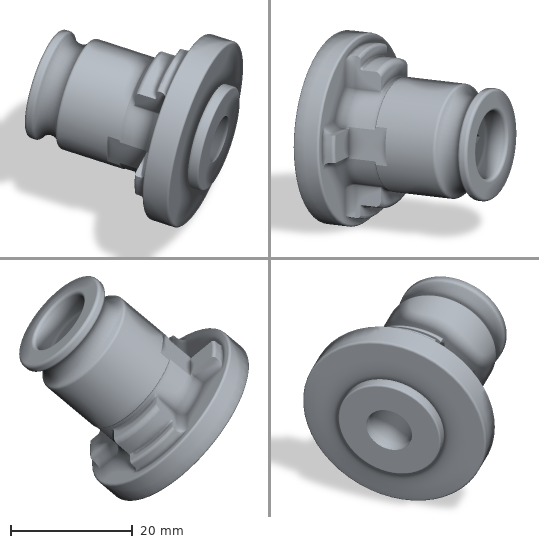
import cadquery as cq
import math

GROOVE_CENTER_X = 3.6
FLAT_START_X = 14.75
BODY_END_X = 16.77
TALL_LUG_X = 17.9
LOW_LUG_X = 21.65
FLANGE_FRONT_X = 23.78
FLANGE_BACK_X = 28.45
REAR_DISC_X = 29.0
LENGTH = 30.8

ROOT_FILLET = 1.3
STEP_FILLET = 1.0
EDGE_FILLET = 0.5
BORE_FLOOR_FILLET = 0.48
FLANGE_FILLET = 0.4
SMALL_FILLET = 0.3

COLLAR_R = 18.65 / 2
BODY_R = 19.0 / 2
NECK_R = COLLAR_R
FLANGE_R = 32 / 2
REAR_GROOVE_R = 14.2 / 2
REAR_DISC_R = 17.9 / 2

GROOVE_FLOOR_R = 7.87
GROOVE_ARC_R = 2.2

LUG_TIP_R = 14.5
TALL_STEP_R = 22.8 / 2 + STEP_FILLET
TALL_LUG_WIDTH = 9.8
LOW_LUG_WIDTH = 4.67
FLAT_SPAN = 2 * REAR_DISC_R

BORE_R = 11.4 / 2
BORE_DEPTH = 4.0
BORE_CONE_HALF_ANGLE = 75
SQUARE_SIDE = 6.18
SQUARE_END_X = 19.2
REAR_BORE_R = 8 / 2

TOLERANCE = 0.003


def revolve_about_x(profile):
    """Full turn of a closed XY outline about the X axis."""
    return profile.revolve(360, (0, 0, 0), (1, 0, 0))


def cylinder(radius, start_x, end_x):
    return cq.Workplane("YZ", origin=(start_x, 0, 0)).circle(radius).extrude(end_x - start_x)


def block(size_y, size_z, start_x, end_x):
    return cq.Workplane("YZ", origin=(start_x, 0, 0)).rect(size_y, size_z).extrude(end_x - start_x)


def round_circle(solid, x, radius, fillet):
    """Fillet the full or partial circular edges of the given radius in the plane at x."""

    def matches(edge):
        if edge.geomType() != "CIRCLE":
            return False
        return abs(edge.radius() - radius) < TOLERANCE and abs(edge.arcCenter().x - x) < TOLERANCE

    edges = [edge for edge in solid.edges().vals() if matches(edge)]
    return solid.newObject(edges).fillet(fillet)


def make_turned_body():
    """Collar, groove, main cylinder, neck, flange and rear disc."""
    arc_center_r = GROOVE_FLOOR_R + GROOVE_ARC_R
    groove_start_x = GROOVE_CENTER_X - math.sqrt(GROOVE_ARC_R**2 - (arc_center_r - COLLAR_R) ** 2)
    groove_end_x = GROOVE_CENTER_X + math.sqrt(GROOVE_ARC_R**2 - (arc_center_r - BODY_R) ** 2)
    profile = (
        cq.Workplane("XY")
        .lineTo(0, COLLAR_R)
        .lineTo(groove_start_x, COLLAR_R)
        .threePointArc((GROOVE_CENTER_X, GROOVE_FLOOR_R), (groove_end_x, BODY_R))
        .lineTo(BODY_END_X, BODY_R)
        .lineTo(BODY_END_X, NECK_R)
        .lineTo(FLANGE_FRONT_X, NECK_R)
        .lineTo(FLANGE_FRONT_X, FLANGE_R)
        .lineTo(FLANGE_BACK_X, FLANGE_R)
        .lineTo(FLANGE_BACK_X, REAR_GROOVE_R)
        .lineTo(REAR_DISC_X, REAR_GROOVE_R)
        .lineTo(REAR_DISC_X, REAR_DISC_R)
        .lineTo(LENGTH, REAR_DISC_R)
        .lineTo(LENGTH, 0)
        .close()
    )
    body = revolve_about_x(profile)
    for x, radius, fillet in [
        (0, COLLAR_R, EDGE_FILLET),
        (groove_start_x, COLLAR_R, EDGE_FILLET),
        (groove_end_x, BODY_R, EDGE_FILLET),
        (FLANGE_FRONT_X, FLANGE_R, FLANGE_FILLET),
        (FLANGE_BACK_X, FLANGE_R, FLANGE_FILLET),
        (LENGTH, REAR_DISC_R, SMALL_FILLET),
    ]:
        body = round_circle(body, x, radius, fillet)
    return body


def make_neck_blend():
    """Concave ring from the main cylinder to the neck; the step is lower than its radius."""
    arc_angle = math.acos(1 - (BODY_R - NECK_R) / SMALL_FILLET)
    blend_end_x = BODY_END_X + SMALL_FILLET * math.sin(arc_angle)
    arc_middle = (
        blend_end_x - SMALL_FILLET * math.sin(arc_angle / 2),
        NECK_R + SMALL_FILLET * (1 - math.cos(arc_angle / 2)),
    )
    profile = (
        cq.Workplane("XY")
        .moveTo(BODY_END_X, NECK_R)
        .lineTo(BODY_END_X, BODY_R)
        .threePointArc(arc_middle, (blend_end_x, NECK_R))
        .close()
    )
    return revolve_about_x(profile)


def make_lugs():
    """Four lugs with rounded roots around the neck, trimmed to a common tip radius."""
    plate_side = 2 * FLANGE_R
    lugs = (
        block(plate_side, plate_side, FLANGE_FRONT_X, FLANGE_BACK_X)
        .union(cylinder(NECK_R, BODY_END_X, FLANGE_FRONT_X))
        .union(block(TALL_LUG_WIDTH, plate_side, TALL_LUG_X, FLANGE_FRONT_X))
        .union(block(plate_side, LOW_LUG_WIDTH, LOW_LUG_X, FLANGE_FRONT_X))
    )

    def meets_plate(edge):
        point = edge.positionAt(0.5)
        inside_rim = max(abs(point.y), abs(point.z)) < plate_side / 2 - TOLERANCE
        return inside_rim and abs(point.x - FLANGE_FRONT_X) < TOLERANCE

    def meets_neck(edge):
        point = edge.positionAt(0.5)
        near_neck = NECK_R - TOLERANCE < math.hypot(point.y, point.z) < NECK_R + ROOT_FILLET
        between_ends = BODY_END_X + TOLERANCE < point.x < FLANGE_FRONT_X - TOLERANCE
        on_root_border = abs(point.x - (FLANGE_FRONT_X - ROOT_FILLET)) < TOLERANCE
        return near_neck and between_ends and not on_root_border

    for is_root, fillet in [(meets_plate, ROOT_FILLET), (meets_neck, SMALL_FILLET)]:
        roots = [edge for edge in lugs.edges().vals() if is_root(edge)]
        lugs = lugs.newObject(roots).fillet(fillet)

    front_envelope = cylinder(TALL_STEP_R, BODY_END_X, LOW_LUG_X)
    rear_envelope = cylinder(LUG_TIP_R, LOW_LUG_X, FLANGE_BACK_X)
    lugs = lugs.intersect(front_envelope.union(rear_envelope))
    for x, radius, fillet in [
        (TALL_LUG_X, TALL_STEP_R, STEP_FILLET),
        (LOW_LUG_X, TALL_STEP_R, SMALL_FILLET),
        (LOW_LUG_X, LUG_TIP_R, EDGE_FILLET),
    ]:
        lugs = round_circle(lugs, x, radius, fillet)
    return lugs


def make_flat_cutter():
    """Material removed to leave two flats from the main cylinder to the low lugs."""
    kept_slab = block(FLAT_SPAN, 2 * FLANGE_R, FLAT_START_X, LOW_LUG_X)
    return cylinder(FLANGE_R, FLAT_START_X, LOW_LUG_X).cut(kept_slab)


def make_bore():
    """Round front bore with a conical floor, square drive hole and round rear bore."""
    cone_depth = BORE_R / math.tan(math.radians(BORE_CONE_HALF_ANGLE))
    profile = (
        cq.Workplane("XY")
        .lineTo(0, BORE_R)
        .lineTo(BORE_DEPTH, BORE_R)
        .lineTo(BORE_DEPTH + cone_depth, 0)
        .close()
    )
    front_bore = round_circle(revolve_about_x(profile), BORE_DEPTH, BORE_R, BORE_FLOOR_FILLET)
    square_hole = block(SQUARE_SIDE, SQUARE_SIDE, 0, SQUARE_END_X).rotate((0, 0, 0), (1, 0, 0), 45)
    rear_bore = cylinder(REAR_BORE_R, SQUARE_END_X, LENGTH)
    return front_bore.union(square_hole).union(rear_bore)


solid_part = make_turned_body().union(make_neck_blend()).union(make_lugs())
bored_part = solid_part.cut(make_flat_cutter()).cut(make_bore())
result = round_circle(bored_part, 0, BORE_R, EDGE_FILLET)